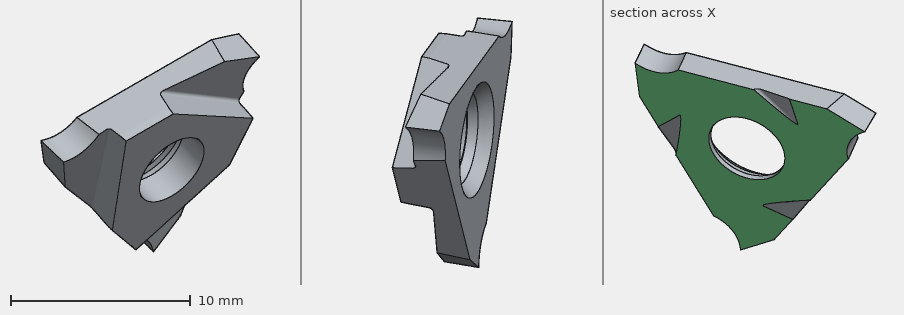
import cadquery as cq
import math


thickness = 3.18
edge_count = 3
edge_offset = 4.505
draft_angle = 4.5
drafted_depth = 2.71

tip = (-6.715, 4.295)
tip_facet_end = (-6.22, 4.115)
notch_center = (-5.575, 6.13)
notch_radius = 2.12
flank_foot = (-6.47, 1.99)
flank_relief = 2.0

tip_thickness = 2.01
recess_tilt = 5.8
recess_tilt_direction = 136.0
recess_wall_offset = 3.81
recess_wall_direction = 172.0
recess_fillet = 0.2

bore_radius = 2.25
shoulder_radius = 2.41
shoulder_depth = 1.28
throat_radius = 2.61
throat_depth = 0.73
mouth_radius = 3.26

clearance = 20.0


def make_plate():
    """Triangular plate with flared sides and a straight band at the back."""
    flare = drafted_depth * math.tan(math.radians(draft_angle))

    def triangle(x, offset):
        radius = offset / math.cos(math.pi / edge_count)
        angles = [math.radians(-90 + i * 360 / edge_count) for i in range(edge_count)]
        corners = [(radius * math.cos(a), radius * math.sin(a)) for a in angles]
        return cq.Workplane("YZ", origin=(x, 0, 0)).polyline(corners).close()

    back_offset = edge_offset + flare
    front_wire = triangle(0, edge_offset).val()
    back_wire = triangle(drafted_depth, back_offset).val()
    drafted = cq.Workplane(cq.Solid.makeLoft([front_wire, back_wire], True))
    band = triangle(drafted_depth, back_offset).extrude(thickness - drafted_depth)
    return drafted.union(band)


def make_flank_cutter():
    """Block whose near face is the flank of one corner, leaning inward with depth."""
    along_y = flank_foot[0] - tip[0]
    along_z = flank_foot[1] - tip[1]
    length = math.hypot(along_y, along_z)
    relief = math.tan(math.radians(flank_relief))
    flank_plane = cq.Plane(
        origin=(0, tip[0], tip[1]),
        xDir=(0, along_y, along_z),
        normal=(relief, along_z / length, -along_y / length),
    )
    return cq.Workplane(flank_plane).rect(clearance, clearance).extrude(clearance)


def make_notch_cutter():
    """Round hollow between the tip and the side, with a short flat facet at the tip."""
    facet_run_out = (2 * tip[0] - tip_facet_end[0], 2 * tip[1] - tip_facet_end[1])
    arc_bottom = (notch_center[0], notch_center[1] - notch_radius)
    arc_end = (notch_center[0] + notch_radius, notch_center[1])
    return (
        cq.Workplane("YZ")
        .moveTo(*facet_run_out)
        .lineTo(*tip_facet_end)
        .threePointArc(arc_bottom, arc_end)
        .lineTo(facet_run_out[0], arc_end[1])
        .close()
        .extrude(thickness)
    )


def make_recess_cutter():
    """Block with one rounded lower edge, tilted about the tip."""
    tilt_direction = math.radians(recess_tilt_direction)
    lean = math.tan(math.radians(recess_tilt))
    lean *= math.cos(math.radians(recess_wall_direction) - tilt_direction)
    wall_offset = recess_wall_offset + lean * (thickness - tip_thickness)
    block = (
        cq.Workplane("XY")
        .box(clearance, clearance, clearance, centered=(False, False, True))
        .edges("<X and <Y")
        .fillet(recess_fillet)
        .translate((tip_thickness, wall_offset, 0))
        .rotate((0, 0, 0), (1, 0, 0), recess_wall_direction)
    )
    hinge = (tip_thickness, tip[0], tip[1])
    hinge_end = (
        tip_thickness,
        tip[0] - math.sin(tilt_direction),
        tip[1] + math.cos(tilt_direction),
    )
    return block.rotate(hinge, hinge_end, -recess_tilt)


def make_hole_cutter():
    """Stepped hole: two cones, a flat shoulder and a straight bore."""
    return (
        cq.Workplane("XY")
        .polyline([
            (0, 0),
            (0, mouth_radius),
            (throat_depth, throat_radius),
            (shoulder_depth, shoulder_radius),
            (shoulder_depth, bore_radius),
            (thickness, bore_radius),
            (thickness, 0),
        ])
        .close()
        .revolve(360, (0, 0, 0), (1, 0, 0))
    )


result = make_plate()
corner_cutters = [
    make_flank_cutter(),
    make_notch_cutter(),
    make_recess_cutter(),
]
for i in range(edge_count):
    for cutter in corner_cutters:
        result = result.cut(cutter.rotate((0, 0, 0), (1, 0, 0), i * 360 / edge_count))
result = result.cut(make_hole_cutter())